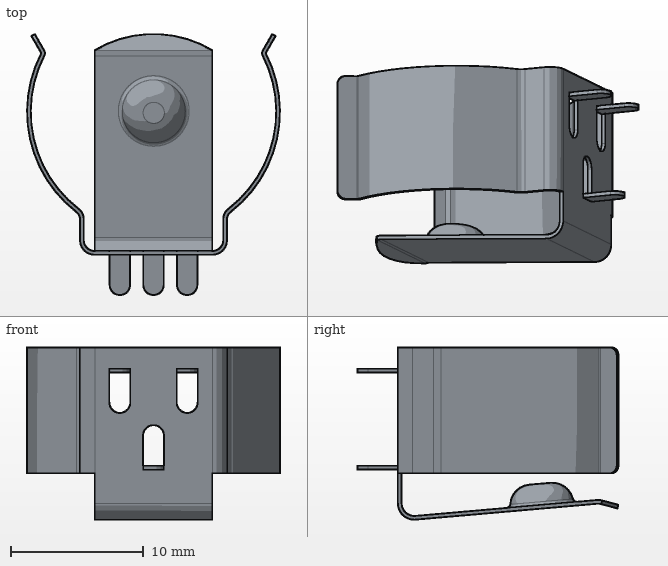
import cadquery as cq
import math


SHEET = 0.3
TOUCHING = 1e-6

ARM_HEIGHT = 9.5
ARM_CENTER = (0, 0)
ARM_RADIUS = 9.55
EAR_ANGLE = 30
EAR_BEND_RADIUS = 0.1
EAR_BEND_POSITION = 27.2
EAR_LENGTH = 1.44
EAR_CORNER_RADIUS = 0.6
SHOULDER_RADIUS = 0.7
CORNER_RADIUS = 1.1

PLATE_WIDTH = 8.9
BACK_Y = -10.8
PLATE_TOP = ARM_HEIGHT / 2
LEG_X = PLATE_WIDTH / 2 + CORNER_RADIUS

PIN_PITCH = 2.54
PIN_WIDTH = 1.56
PIN_LENGTH = 3.34
UPPER_PIN_DROP = 1.6
PIN_ROW_SPACING = 7.62
UPPER_FOLD_Z = PLATE_TOP - UPPER_PIN_DROP
LOWER_FOLD_Z = UPPER_FOLD_Z - PIN_ROW_SPACING

CLIP_HEIGHT = 13.01
TONGUE_RISE = 5
TIP_DROP = 15
TONGUE_BEND_RADIUS = 1.25
TIP_BEND_RADIUS = 0.9
TIP_BEND_Y = 4.32
TIP_LENGTH = 1.28
TONGUE_BEND = (BACK_Y + TONGUE_BEND_RADIUS, PLATE_TOP - CLIP_HEIGHT + TONGUE_BEND_RADIUS)
TIP_BEND_Z = (
    TONGUE_BEND[1]
    + (TIP_BEND_Y - TONGUE_BEND[0]) * math.tan(math.radians(TONGUE_RISE))
    - (TONGUE_BEND_RADIUS + TIP_BEND_RADIUS) / math.cos(math.radians(TONGUE_RISE))
)
TIP_BEND = (TIP_BEND_Y, TIP_BEND_Z)

DOME_Y = 0.07
DOME_HEIGHT = 1.6
DOME_FLAT_RADIUS = 0.8
DOME_FOOT_RADIUS = 0.3


def polar(center, radius, degrees):
    """Point at a radius and angle from a centre."""
    angle = math.radians(degrees)
    return (center[0] + radius * math.cos(angle), center[1] + radius * math.sin(angle))


def bend_points(center, radius, start, end):
    """Start, middle and end of an arc between two angles."""
    return [polar(center, radius, a) for a in (start, (start + end) / 2, end)]


def trace(outline, position, arcs, end):
    """Continue an outline through arcs to an end point, with lines across the gaps."""
    for start, middle, finish in arcs:
        if math.dist(position, start) > TOUCHING:
            outline = outline.lineTo(*start)
        outline = outline.threePointArc(middle, finish)
        position = finish
    return outline.lineTo(*end)


def bent_sheet(plane, face_at):
    """Closed outline of a bent sheet: along its outer face and back along its inner face.

    face_at(depth) gives a start point, the arcs that follow it and an end point.
    """
    outer_start, outer_arcs, outer_end = face_at(0)
    inner_start, inner_arcs, inner_end = face_at(SHEET)
    returning_arcs = [arc[::-1] for arc in reversed(inner_arcs)]
    outline = cq.Workplane(plane).moveTo(*outer_start)
    outline = trace(outline, outer_start, outer_arcs, outer_end).lineTo(*inner_end)
    return trace(outline, inner_end, returning_arcs, inner_start).close()


def arm_face(depth):
    """Right half of the clip at a depth below its outer face, from the plate centre to the ear."""
    corner = (PLATE_WIDTH / 2, BACK_Y + CORNER_RADIUS)
    shoulder_x = LEG_X + SHOULDER_RADIUS
    shoulder_y = -math.sqrt((ARM_RADIUS + SHOULDER_RADIUS) ** 2 - shoulder_x ** 2)
    shoulder = (shoulder_x, shoulder_y)
    shoulder_angle = math.degrees(math.atan2(shoulder_y, shoulder_x))
    ear_bend = polar(ARM_CENTER, ARM_RADIUS + EAR_BEND_RADIUS, EAR_BEND_POSITION)
    corner_arc = bend_points(corner, CORNER_RADIUS - depth, -90, 0)
    shoulder_arc = bend_points(shoulder, SHOULDER_RADIUS + depth, 180, 180 + shoulder_angle)
    ear_arc = bend_points(ear_bend, EAR_BEND_RADIUS + depth, 180 + EAR_BEND_POSITION, 180 - EAR_ANGLE)
    arm_arc = bend_points(ARM_CENTER, ARM_RADIUS - depth, shoulder_angle, EAR_BEND_POSITION)
    ear_end = polar(ear_arc[-1], EAR_LENGTH, 90 - EAR_ANGLE)
    return (0, BACK_Y + depth), [corner_arc, shoulder_arc, arm_arc, ear_arc], ear_end


def make_arms():
    """Both arms with the upper part of the back plate between them."""
    arm = bent_sheet("XY", arm_face).extrude(ARM_HEIGHT / 2, both=True)
    across_ear = cq.Vector(*polar((0, 0), 1, 180 - EAR_ANGLE))
    ear_corners = cq.selectors.ParallelDirSelector(across_ear)
    arm = arm.edges(ear_corners).fillet(EAR_CORNER_RADIUS)
    return arm.union(arm.mirror("YZ"))


def strip_face(depth):
    """Strip at a depth below its outer face, from the plate top to the tip bend."""
    tongue_arc = bend_points(TONGUE_BEND, TONGUE_BEND_RADIUS - depth, 180, 270 + TONGUE_RISE)
    tongue_end = polar(TIP_BEND, TIP_BEND_RADIUS + depth, 90 + TONGUE_RISE)
    return (BACK_Y + depth, PLATE_TOP), [tongue_arc], tongue_end


def make_strip():
    """Back plate and sloping tongue as one bent strip."""
    return bent_sheet("YZ", strip_face).extrude(PLATE_WIDTH / 2, both=True)


def make_tip():
    """Bend at the end of the tongue and the rounded lip beyond it."""
    upper_radius = TIP_BEND_RADIUS + SHEET
    under = bend_points(TIP_BEND, TIP_BEND_RADIUS, 90 + TONGUE_RISE, 90 - TIP_DROP)
    upper = bend_points(TIP_BEND, upper_radius, 90 + TONGUE_RISE, 90 - TIP_DROP)
    bend = (
        cq.Workplane("YZ")
        .moveTo(*under[0])
        .threePointArc(under[1], under[2])
        .lineTo(*upper[2])
        .threePointArc(upper[1], upper[0])
        .close()
        .extrude(PLATE_WIDTH / 2, both=True)
    )
    lip_normal = (0, *polar((0, 0), 1, 90 - TIP_DROP))
    lip_plane = cq.Plane(origin=(0, *upper[2]), xDir=(1, 0, 0), normal=lip_normal)
    lip = (
        cq.Workplane(lip_plane)
        .moveTo(-PLATE_WIDTH / 2, 0)
        .threePointArc((0, TIP_LENGTH), (PLATE_WIDTH / 2, 0))
        .close()
        .extrude(-SHEET)
    )
    return bend.union(lip)


def make_dome():
    """Solid contact dome standing square on the sloping tongue, with a concave foot."""
    top_of_bend = polar(TIP_BEND, TIP_BEND_RADIUS + SHEET, 90 + TONGUE_RISE)
    dome_z = top_of_bend[1] - (top_of_bend[0] - DOME_Y) * math.tan(math.radians(TONGUE_RISE))
    profile_normal = (0, *polar((0, 0), 1, 180 + TONGUE_RISE))
    plane = cq.Plane(origin=(0, DOME_Y, dome_z), xDir=(1, 0, 0), normal=profile_normal)

    crown_center = (DOME_FLAT_RADIUS, 0)
    foot_angle = math.degrees(math.asin(DOME_FOOT_RADIUS / (DOME_HEIGHT + DOME_FOOT_RADIUS)))
    foot_center = polar(crown_center, DOME_HEIGHT + DOME_FOOT_RADIUS, foot_angle)
    foot = bend_points(foot_center, DOME_FOOT_RADIUS, 270, 180 + foot_angle)
    crown = bend_points(crown_center, DOME_HEIGHT, foot_angle, 90)
    return (
        cq.Workplane(plane)
        .lineTo(*foot[0])
        .threePointArc(foot[1], foot[2])
        .threePointArc(crown[1], crown[2])
        .lineTo(0, DOME_HEIGHT)
        .close()
        .revolve(360, (0, 0), (0, 1))
    )


def round_ended_outline(plane, length):
    """Strip outline from the plane origin along local Y (length may be negative), round-ended."""
    half = PIN_WIDTH / 2
    straight = length - math.copysign(half, length)
    return (
        cq.Workplane(plane)
        .moveTo(-half, 0)
        .lineTo(-half, straight)
        .threePointArc((0, length), (half, straight))
        .lineTo(half, 0)
        .close()
    )


def fold_out_pin(body, x, fold_z, window_side):
    """Cut a window on one side (+1 up, -1 down) of the fold and add the pin bent out of it."""
    inner_y = BACK_Y + SHEET
    window_plane = cq.Plane(origin=(x, inner_y, fold_z), xDir=(1, 0, 0), normal=(0, -1, 0))
    pin_plane = cq.Plane(origin=(x, inner_y, fold_z), xDir=(1, 0, 0), normal=(0, 0, 1))
    window = round_ended_outline(window_plane, window_side * PIN_LENGTH).extrude(SHEET)
    pin = round_ended_outline(pin_plane, -PIN_LENGTH).extrude(window_side * SHEET)
    return body.cut(window).union(pin)


result = make_arms().union(make_strip()).union(make_tip()).union(make_dome())
for pin_x in (-PIN_PITCH, PIN_PITCH):
    result = fold_out_pin(result, pin_x, UPPER_FOLD_Z, -1)
result = fold_out_pin(result, 0, LOWER_FOLD_Z, 1)